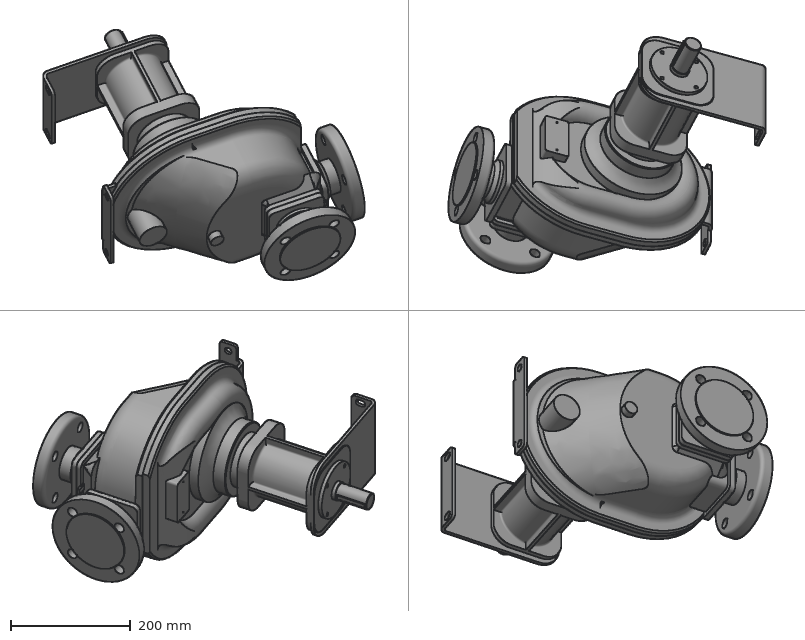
import cadquery as cq
import math


total_length = 525.0
beyond = 262.5
foot_bottom_y = -161.0
sheet = 6.0

shaft_radius, shaft_chamfer = 14.5, 1.0
shaft_collar_radius = 16.5
shaft_collar_start = 58.5
key_start, key_end = 3.0, 55.0
key_width, key_top = 8.5, 16.5

cap_start, cap_radius = 65.0, 50.5
cap_hole_radius, cap_hole_offset = 3.0, 30.5

frame_start = 72.0
frame_front_end = 86.5
frame_rear_start, frame_end = 197.0, 217.5
frame_half, frame_corner = 64.5, 34.5
frame_front_chamfer, frame_fillet = 1.0, 3.0
frame_barrel_radius = 51.0
frame_rib = 6.0

neck_radius = 48.5
hub_start, hub_end, hub_radius = 239.5, 262.5, 65.5
hub_rim_chamfer = 1.5

case_straight = 68.0
joint_start, joint_mid, joint_end = 313.0, 326.5, 338.5
joint_height = 304.0
joint_radius = joint_height / 2
joint_top_z = 142.0
case_z = joint_top_z - joint_radius
joint_step = 0.5
joint_edge = 3.0
cover_top_y, tank_top_y = 195.0, 197.5
wall_radius = 123.0
foot_blend = 12.5
crest_x, crest_radius = 280.0, 100.5
tank_end, tank_edge = 437.0, 34.0

pipe_radius = 30.0
pipe_collar_radius = 37.5
pipe_collar_straight, pipe_collar_cone = 6.0, 7.5
flange_radius, flange_thickness = 82.5, 21.5
flange_edge = 7.0
face_radius, face_height = 54.5, 2.5
flange_hole_radius, flange_hole_circle = 9.0, 62.5
flange_hole_angle, flange_hole_count = 45, 4
pad_side, pad_corner = 100.0, 10.0

suction_y, suction_z = 135.0, case_z
suction_pad_start, suction_pad_seam, suction_pad_end = 449.0, 457.5, 466.5
suction_end = total_length
discharge_x, discharge_z = 380.0, -43.5
discharge_pad_end = 207.5
discharge_end = 263.0


def box(x0, x1, y0, y1, z0, z1):
    return cq.Workplane("XY").box(x1 - x0, y1 - y0, z1 - z0, centered=False).translate((x0, y0, z0))


def rod_x(x0, x1, radius, y=0.0, z=0.0):
    return cq.Workplane("YZ", origin=(x0, y, z)).circle(radius).extrude(x1 - x0)


def rounded_square_x(x0, x1, half, corner, y=0.0, z=0.0):
    block = cq.Workplane("YZ", origin=(x0, y, z)).rect(2 * half, 2 * half).extrude(x1 - x0)
    return block.edges("|X").fillet(corner)


def oblong_solid(outline):
    """Carry a half section, drawn as (x, radius), around the oblong casing outline."""
    section = outline(cq.Workplane("XY", origin=(0, 0, case_z)))
    ring = section.revolve(360, (0, 0, 0), (1, 0, 0))
    other_ring = ring.translate((0, case_straight, 0))
    upper = outline(cq.Workplane("XZ", origin=(0, 0, case_z))).extrude(-case_straight)
    lower = upper.mirror("XY", (0, 0, case_z))
    near = ring.intersect(box(0, total_length, -beyond, 0, -beyond, beyond))
    far = other_ring.intersect(box(0, total_length, case_straight, case_straight + beyond, -beyond, beyond))
    return near.union(upper).union(lower).union(far)


def make_shaft():
    shaft = rod_x(0, cap_start, shaft_radius).faces("<X").chamfer(shaft_chamfer)
    collar = rod_x(shaft_collar_start, cap_start, shaft_collar_radius)
    key = box(key_start, key_end, 0, key_top, -key_width / 2, key_width / 2)
    return shaft.union(collar).union(key)


def make_bearing_frame():
    cap = rod_x(cap_start, frame_start, cap_radius)
    for y in (-cap_hole_offset, cap_hole_offset):
        for z in (-cap_hole_offset, cap_hole_offset):
            cap = cap.cut(rod_x(cap_start, frame_start, cap_hole_radius, y, z))
    front = rounded_square_x(frame_start, frame_front_end, frame_half, frame_corner)
    front = front.faces("<X").chamfer(frame_front_chamfer)
    rear = rounded_square_x(frame_rear_start, frame_end, frame_half, frame_corner)
    barrel = rod_x(frame_front_end, frame_rear_start, frame_barrel_radius)
    rib = box(frame_front_end, frame_rear_start, -frame_half, frame_half, -frame_rib / 2, frame_rib / 2)
    cross_rib = rib.rotate((0, 0, 0), (1, 0, 0), 90)
    neck = rod_x(frame_end, hub_start, neck_radius)
    frame = front.union(rear).union(barrel).union(rib).union(cross_rib)
    margin = 0.5
    reach = (frame_barrel_radius + frame_half) / 2
    windows = cq.selectors.BoxSelector(
        (frame_front_end - margin, -reach, -reach),
        (frame_rear_start + margin, reach, reach),
        boundingbox=True,
    )
    frame = frame.edges(windows).fillet(frame_fillet)
    return frame.union(cap).union(neck)


def bent_strip(leg_x, leg_top, toe_x, half_width):
    """L-shaped strip: a leg down along Y, then a toe along +X at the base."""
    bend = 2 * sheet
    return (
        cq.Workplane("XY", origin=(0, 0, -half_width))
        .moveTo(leg_x, leg_top)
        .lineTo(leg_x, foot_bottom_y + bend)
        .radiusArc((leg_x + bend, foot_bottom_y), -bend)
        .lineTo(toe_x, foot_bottom_y)
        .lineTo(toe_x, foot_bottom_y + sheet)
        .lineTo(leg_x + bend, foot_bottom_y + sheet)
        .radiusArc((leg_x + sheet, foot_bottom_y + bend), sheet)
        .lineTo(leg_x + sheet, leg_top)
        .close()
        .extrude(2 * half_width)
    )


def make_frame_foot():
    leg_x, toe_x = 73.0, 119.5
    half_width, toe_corner, top_corner = 74.5, 8.0, 39.5
    slot_x, slot_z, slot_length, slot_width = 102.5, 62.5, 18.0, 12.0
    foot = bent_strip(leg_x, frame_half, toe_x, half_width)
    foot = foot.edges("|Y and >X").fillet(toe_corner)
    foot = foot.edges("|X and >Y").fillet(top_corner)
    slots = (
        cq.Workplane("XZ", origin=(0, foot_bottom_y + sheet, 0))
        .pushPoints([(slot_x, -slot_z), (slot_x, slot_z)])
        .slot2D(slot_length, slot_width)
        .extrude(sheet)
    )
    return foot.cut(slots)


def make_casing_foot():
    leg_x, leg_top, toe_x = 323.0, -133.0, 369.0
    leg_half, wing_half, wing_start, wing_corner = 65.5, 95.0, 337.0, 6.5
    hole_x, hole_z, hole_radius = 353.0, 80.0, 6.5
    strip = bent_strip(leg_x, leg_top, toe_x, leg_half)
    wing = box(wing_start, toe_x, foot_bottom_y, foot_bottom_y + sheet, -wing_half, wing_half)
    wing = wing.edges("|Y").fillet(wing_corner)
    holes = (
        cq.Workplane("XZ", origin=(0, foot_bottom_y + sheet, 0))
        .pushPoints([(hole_x, -hole_z), (hole_x, hole_z)])
        .circle(hole_radius)
        .extrude(sheet)
    )
    return strip.union(wing).cut(holes)


def joint_outline(x_outer, x_seam, radius):
    """Half section of one joint half, chamfered on the side away from the seam."""
    inward = math.copysign(joint_edge, x_seam - x_outer)

    def outline(plane):
        return (
            plane.moveTo(x_outer, 0)
            .lineTo(x_outer, radius - joint_edge)
            .lineTo(x_outer + inward, radius)
            .lineTo(x_seam, radius)
            .lineTo(x_seam, 0)
            .close()
        )
    return outline


def make_joint_flange():
    """Bolted joint between cover and tank, cut flat on its discharge side."""
    cover_half = oblong_solid(joint_outline(joint_start, joint_mid, joint_radius - joint_step))
    cover_half = cover_half.intersect(box(joint_start, joint_mid, -beyond, cover_top_y, -beyond, beyond))
    tank_half = oblong_solid(joint_outline(joint_end, joint_mid, joint_radius))
    tank_half = tank_half.intersect(box(joint_mid, joint_end, -beyond, tank_top_y, -beyond, beyond))
    return cover_half.union(tank_half)


def cover_outline(plane):
    """Half section of the cover: blended foot, rounded tube-like ridge, then the recessed floor."""
    floor_x, floor_radius = 296.5, 76.0
    valley_drop, valley_inset = 5.0, 16.0
    ridge = wall_radius - crest_radius
    ridge_depth = joint_start - foot_blend - crest_x
    halfway = math.sin(math.pi / 4)
    return (
        plane.moveTo(joint_start, 0)
        .lineTo(joint_start, wall_radius + foot_blend)
        .radiusArc((joint_start - foot_blend, wall_radius), foot_blend)
        .threePointArc(
            (crest_x + (1 - halfway) * ridge_depth, crest_radius + halfway * ridge),
            (crest_x, crest_radius),
        )
        .threePointArc((crest_x + valley_drop, crest_radius - valley_inset), (floor_x, floor_radius))
        .lineTo(floor_x, 0)
        .close()
    )


def make_cover():
    shell = oblong_solid(cover_outline)
    fade_foot_y, fade_middle, fade_top_y = 167.0, (290.5, 134.0), 84.0
    flare_middle, flare_x, flare_radius = (272.5, 74.5), 279.5, 87.0
    fade = (
        cq.Workplane("XY", origin=(0, 0, -beyond))
        .moveTo(joint_start, fade_foot_y)
        .threePointArc(fade_middle, (crest_x, fade_top_y))
        .lineTo(crest_x, -beyond)
        .lineTo(joint_start, -beyond)
        .close()
        .extrude(2 * beyond)
    )
    hub = (
        cq.Workplane("XY")
        .moveTo(hub_start, 0)
        .lineTo(hub_start, hub_radius - hub_rim_chamfer)
        .lineTo(hub_start + hub_rim_chamfer, hub_radius)
        .lineTo(hub_end, hub_radius)
        .threePointArc(flare_middle, (flare_x, flare_radius))
        .lineTo(joint_start, flare_radius)
        .lineTo(joint_start, 0)
        .close()
        .revolve(360, (0, 0, 0), (1, 0, 0))
    )
    plate_x, plate_y, plate_z, plate_width, plate_height = 281.5, 135.5, -1.0, 42.0, 83.0
    plate_corner = 4.0
    pin_radius, pin_offset, pin_depth = 1.0, 32.5, 2.5
    plate = (
        cq.Workplane("YZ", origin=(plate_x, plate_y, plate_z))
        .rect(plate_width, plate_height)
        .extrude(joint_start - plate_x)
        .edges("|X")
        .fillet(plate_corner)
    )
    for z in (plate_z - pin_offset, plate_z + pin_offset):
        plate = plate.cut(rod_x(plate_x, plate_x + pin_depth, pin_radius, plate_y, z))
    return shell.intersect(fade).union(hub).union(plate)


def tank_outline(plane):
    return (
        plane.moveTo(joint_end, 0)
        .lineTo(joint_end, wall_radius + foot_blend)
        .radiusArc((joint_end + foot_blend, wall_radius), -foot_blend)
        .lineTo(tank_end - tank_edge, wall_radius)
        .radiusArc((tank_end, wall_radius - tank_edge), tank_edge)
        .lineTo(tank_end, 0)
        .close()
    )


def make_tank():
    drain_end, drain_radius, drain_y = 398.5, 24.5, -96.0
    plug_root, plug_end, plug_radius, plug_y = 10.5, 449.5, 11.5, -1.5
    slope_end_y, side_clearance, rim_width = -16.0, 2.5, 8.0
    depth = tank_end - joint_end
    rise = slope_end_y + wall_radius
    slope_length = math.hypot(depth, rise)
    slope_normal_radius = wall_radius * depth / slope_length
    oblique = (
        cq.Workplane(cq.Plane((joint_end, 0, case_z), xDir=(0, 0, 1), normal=(depth, rise, 0)))
        .ellipse(wall_radius + side_clearance, slope_normal_radius)
        .extrude(2 * slope_length, both=True)
    )
    above_slope = (
        cq.Workplane("XY", origin=(0, 0, -beyond))
        .moveTo(joint_end, 0)
        .lineTo(tank_end, rise)
        .lineTo(tank_end, tank_top_y)
        .lineTo(joint_end, tank_top_y)
        .close()
        .extrude(2 * beyond)
    )
    foot_rim = box(joint_end, joint_end + rim_width, -beyond, 0, -beyond, beyond)
    tank = oblong_solid(tank_outline).intersect(oblique.union(above_slope).union(foot_rim))
    drain = rod_x(joint_end, drain_end, drain_radius, drain_y, case_z)
    plug = rod_x(tank_end - plug_root, plug_end, plug_radius, plug_y, case_z)
    return tank.union(drain).union(plug)


def make_connection(length, pad_thickness):
    """Pad, collar, pipe and drilled flange along +Z, starting from z = 0."""
    pad = cq.Workplane("XY").rect(pad_side, pad_side).extrude(pad_thickness)
    pad = pad.edges("|Z").fillet(pad_corner)
    collar_end = pad_thickness + pipe_collar_straight
    flange_back = length - face_height - flange_thickness
    flange_front = length - face_height
    turned = (
        cq.Workplane("XZ")
        .moveTo(0, 0)
        .lineTo(pipe_collar_radius, 0)
        .lineTo(pipe_collar_radius, collar_end)
        .lineTo(pipe_radius, collar_end + pipe_collar_cone)
        .lineTo(pipe_radius, flange_back)
        .lineTo(flange_radius - flange_edge, flange_back)
        .radiusArc((flange_radius, flange_back + flange_edge), -flange_edge)
        .lineTo(flange_radius, flange_front)
        .lineTo(face_radius, flange_front)
        .lineTo(face_radius, length)
        .lineTo(0, length)
        .close()
        .revolve(360, (0, 0, 0), (0, 1, 0))
    )
    holes = (
        cq.Workplane("XY", origin=(0, 0, flange_back))
        .polarArray(flange_hole_circle, flange_hole_angle, 360, flange_hole_count)
        .circle(flange_hole_radius)
        .extrude(flange_thickness)
    )
    return pad.union(turned).cut(holes)


def make_suction():
    boss_depth, boss_half, boss_taper = 26.0, 42.0, -37
    tab_start, tab_end, tab_top, tab_width = 445.5, 450.0, 196.5, 10.5
    seam_step = 0.5
    connection = make_connection(suction_end - suction_pad_start, suction_pad_end - suction_pad_start)
    boss = (
        cq.Workplane("XY")
        .rect(2 * boss_half, 2 * boss_half)
        .extrude(-boss_depth, taper=boss_taper)
    )
    suction = connection.union(boss).rotate((0, 0, 0), (0, 1, 0), 90)
    suction = suction.translate((suction_pad_start, suction_y, suction_z))
    inner_pad = rounded_square_x(
        suction_pad_start, suction_pad_seam, pad_side / 2 + seam_step, pad_corner, suction_y, suction_z
    )
    tab = box(tab_start, tab_end, suction_y, tab_top, suction_z - tab_width / 2, suction_z + tab_width / 2)
    return suction.union(inner_pad).union(tab)


def make_discharge():
    boss_depth, boss_half, boss_corner = 42.0, 42.0, 10.5
    connection = make_connection(discharge_end - tank_top_y, discharge_pad_end - tank_top_y)
    boss = cq.Workplane("XY").rect(2 * boss_half, 2 * boss_half).extrude(-boss_depth)
    boss = boss.edges("|Z").fillet(boss_corner)
    discharge = connection.union(boss).rotate((0, 0, 0), (1, 0, 0), -90)
    return discharge.translate((discharge_x, tank_top_y, discharge_z))


result = (
    make_shaft()
    .union(make_bearing_frame())
    .union(make_frame_foot())
    .union(make_cover())
    .union(make_joint_flange())
    .union(make_tank())
    .union(make_casing_foot())
    .union(make_suction())
    .union(make_discharge())
)